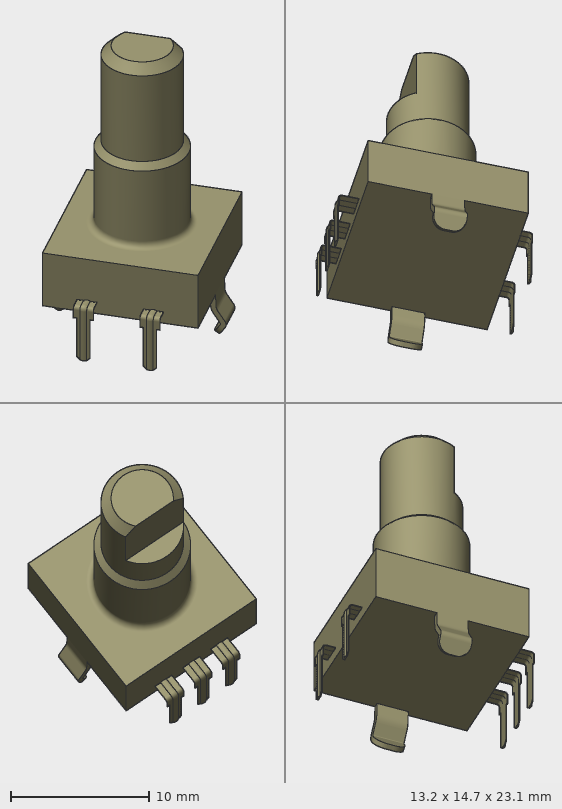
import cadquery as cq
import math


housing_width = 11.69
housing_depth = 12.0
housing_height = 4.5
bushing_diameter = 7.0
bushing_height = 7.0
bushing_edge = 0.5

shaft_diameter = 6.0
shaft_length = 8.0
shaft_chamfer = 0.75
flat_offset = 1.5
flat_length = 5.0

overall_width = 13.25
lug_depth = 3.63
lug_width = 2.45
lug_thickness = 0.42
lug_flare = 0.05
lug_lean = 34
lug_knee_depth = 2.4
lug_elbow_radius = 0.8
lug_knee_radius = 0.1
lug_corner_radius = 0.95

pin_pitch = 2.5
pin_tip_depth = 3.5
pin_sheet = 0.07
pin_top = 0.97
pin_shoulder_width = 1.5
pin_width = 1.0
pin_bend_radius = 0.28
rib_width = 0.5
rib_height = 0.07
pin_tip_chamfer = (pin_width - rib_width) / 2
rear_reach = 7.52
front_reach = 7.0


def make_lug():
    """Bent strip on the +X side: down, outward, then inward, with a rounded tip."""
    lean = math.radians(lug_lean)
    half = lug_thickness / 2
    knee_half = half / math.cos(lean)
    elbow_shift = half * math.tan(lean / 2)

    bulge_radius = lug_knee_radius + lug_thickness
    bulge_x = overall_width / 2
    knee_outer_x = bulge_x + bulge_radius * (1 / math.cos(lean) - 1)
    knee_x = knee_outer_x - knee_half
    wall_x = housing_width / 2
    elbow_x = wall_x + lug_flare - half
    elbow_z = -lug_knee_depth + (knee_x - elbow_x) / math.tan(lean)
    tip_z = -lug_depth + half * math.sin(lean)
    tip_x = knee_x - (-lug_knee_depth - tip_z) * math.tan(lean)

    elbow_outer = (elbow_x + half, elbow_z + elbow_shift)
    elbow_inner = (elbow_x - half, elbow_z - elbow_shift)
    knee_outer = (knee_x + knee_half, -lug_knee_depth)
    knee_inner = (knee_x - knee_half, -lug_knee_depth)
    tip_outer = (tip_x + half * math.cos(lean), tip_z - half * math.sin(lean))
    tip_inner = (tip_x - half * math.cos(lean), tip_z + half * math.sin(lean))

    lug = (
        cq.Workplane("XZ")
        .polyline([
            (wall_x, 0), elbow_outer, knee_outer, tip_outer,
            tip_inner, knee_inner, elbow_inner, (wall_x - lug_thickness, 0),
        ])
        .close()
        .extrude(lug_width / 2, both=True)
    )

    for side in (-1, 1):
        corner = (tip_x, side * lug_width / 2, tip_z)
        lug = lug.edges(cq.NearestToPointSelector(corner)).fillet(lug_corner_radius)
    bends = [
        (elbow_outer, lug_elbow_radius),
        (elbow_inner, lug_elbow_radius + lug_thickness),
        (knee_inner, lug_knee_radius),
        (knee_outer, bulge_radius),
    ]
    for (x, z), radius in bends:
        lug = lug.edges(cq.NearestToPointSelector((x, 0, z))).fillet(radius)
    return lug


def make_housing():
    """Box with a round bushing on top and a snap lug under each side."""
    box = cq.Workplane("XY").box(
        housing_width, housing_depth, housing_height, centered=(True, True, False)
    )
    body = box.faces(">Z").workplane().circle(bushing_diameter / 2).extrude(bushing_height)
    body = body.faces(">Z").edges().chamfer(bushing_edge)
    root = cq.NearestToPointSelector((bushing_diameter / 2, 0, housing_height))
    body = body.edges("%CIRCLE").edges(root).fillet(bushing_edge)

    lug = make_lug()
    return body.union(lug).union(lug.mirror("YZ"))


def make_shaft():
    """Round shaft on the bushing, with a chamfered end and a flat facing +Y."""
    base_z = housing_height + bushing_height
    shaft = (
        cq.Workplane("XY", origin=(0, 0, base_z))
        .circle(shaft_diameter / 2)
        .extrude(shaft_length)
        .faces(">Z")
        .edges()
        .chamfer(shaft_chamfer)
    )
    flat_cut = cq.Workplane("XY").box(
        shaft_diameter, shaft_diameter, flat_length, centered=(True, False, False)
    )
    return shaft.cut(flat_cut.translate((0, flat_offset, base_z + shaft_length - flat_length)))


def bend_outer_face(profile, reach):
    """Draw the outer face of a pin from the housing wall over the bend to the tip."""
    bend_y = reach - pin_bend_radius
    bend_z = pin_top - pin_bend_radius
    middle = pin_bend_radius * math.sqrt(0.5)
    return (
        profile.moveTo(housing_depth / 2, pin_top)
        .lineTo(bend_y, pin_top)
        .threePointArc((bend_y + middle, bend_z + middle), (reach, bend_z))
        .lineTo(reach, -pin_tip_depth)
    )


def make_pin_sheet(reach):
    """Bent sheet with a wide shoulder above the housing underside and a narrow leg below it."""
    wall_y = housing_depth / 2
    bend_y = reach - pin_bend_radius
    bend_z = pin_top - pin_bend_radius
    inner_top = pin_top - pin_sheet
    inner_y = reach - pin_sheet
    middle = (pin_bend_radius - pin_sheet) * math.sqrt(0.5)

    strip = (
        bend_outer_face(cq.Workplane("YZ"), reach)
        .lineTo(inner_y, -pin_tip_depth)
        .lineTo(inner_y, bend_z)
        .threePointArc((bend_y + middle, bend_z + middle), (bend_y, inner_top))
        .lineTo(wall_y, inner_top)
        .close()
        .extrude(pin_shoulder_width / 2, both=True)
    )

    shoulder_x = pin_shoulder_width / 2
    leg_x = pin_width / 2
    tip_x = leg_x - pin_tip_chamfer
    chamfer_z = pin_tip_chamfer - pin_tip_depth
    outline = (
        cq.Workplane("XZ")
        .polyline([
            (-shoulder_x, pin_top), (shoulder_x, pin_top), (shoulder_x, 0), (leg_x, 0),
            (leg_x, chamfer_z), (tip_x, -pin_tip_depth), (-tip_x, -pin_tip_depth),
            (-leg_x, chamfer_z), (-leg_x, 0), (-shoulder_x, 0),
        ])
        .close()
        .extrude(-reach)
    )
    return strip.intersect(outline)


def make_pin_rib(reach):
    """Rib with a rounded crown, sunk halfway into the sheet and following its bend."""
    half = rib_width / 2
    root_z = pin_top - pin_sheet / 2
    return (
        cq.Workplane("XZ", origin=(0, housing_depth / 2, 0))
        .moveTo(-half, pin_top)
        .threePointArc((0, pin_top + rib_height), (half, pin_top))
        .lineTo(half, root_z)
        .lineTo(-half, root_z)
        .close()
        .sweep(bend_outer_face(cq.Workplane("YZ"), reach))
    )


def make_pin(x, reach):
    """Terminal pin on the +Y side of the housing."""
    return make_pin_sheet(reach).union(make_pin_rib(reach)).translate((x, 0, 0))


housing = make_housing()
shaft = make_shaft()
rear_pins = [make_pin(x, rear_reach) for x in (-pin_pitch, 0, pin_pitch)]
front_pins = [make_pin(x, front_reach).mirror("XZ") for x in (-pin_pitch, pin_pitch)]

result = cq.Compound.makeCompound([
    housing.val(),
    shaft.val(),
    *[pin.val() for pin in rear_pins + front_pins],
])